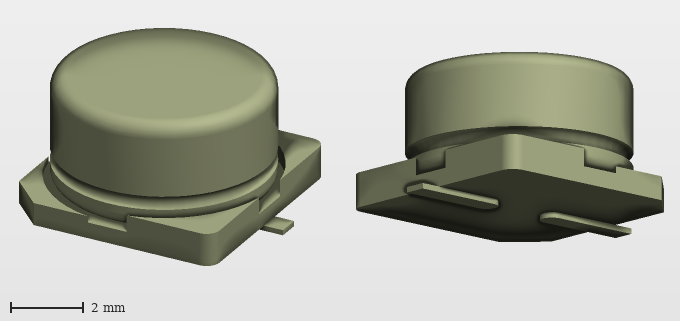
import cadquery as cq

overall_length = 7.8
base_width = 6.6
overall_height = 3.9

base_bottom = 0.155
low_top = 0.835
tall_top = 1.15
corner_chamfer = 1.0
corner_radius = 0.405
recess_radius = 3.355
recess_floor = 0.64

can_radius = 6.3 / 2
can_edge_radius = 0.42
groove_height = 1.5
groove_radius = 0.2

lead_width = 0.65
lead_inner_end = 0.9


def make_base():
    half_width = base_width / 2
    base = (
        cq.Workplane("XY")
        .workplane(offset=base_bottom)
        .rect(base_width, base_width)
        .extrude(tall_top - base_bottom)
    )
    base = base.edges("|Z and <X").chamfer(corner_chamfer)
    base = base.edges("|Z and >X").fillet(corner_radius)
    step = (
        cq.Workplane("XY")
        .workplane(offset=low_top)
        .center(-half_width / 2, 0)
        .rect(half_width, base_width)
        .extrude(tall_top - low_top)
    )
    recess = (
        cq.Workplane("XY")
        .workplane(offset=recess_floor)
        .circle(recess_radius)
        .extrude(tall_top - recess_floor)
    )
    return base.cut(step).cut(recess)


def make_can():
    can = (
        cq.Workplane("XY")
        .workplane(offset=recess_floor)
        .circle(can_radius)
        .extrude(overall_height - recess_floor)
        .edges("%CIRCLE")
        .fillet(can_edge_radius)
    )
    groove = cq.Workplane(cq.Solid.makeTorus(can_radius, groove_radius, cq.Vector(0, 0, groove_height)))
    return can.cut(groove)


def make_lead(side):
    """Flat lead with a round inner end; side is -1 for -X and 1 for +X."""
    outer_x = side * overall_length / 2
    round_center_x = side * (lead_inner_end + lead_width / 2)
    half_width = lead_width / 2
    return (
        cq.Workplane("XY")
        .moveTo(outer_x, -half_width)
        .lineTo(round_center_x, -half_width)
        .threePointArc((side * lead_inner_end, 0), (round_center_x, half_width))
        .lineTo(outer_x, half_width)
        .close()
        .extrude(base_bottom)
    )


result = make_base().union(make_can())
for side in (-1, 1):
    result = result.union(make_lead(side))